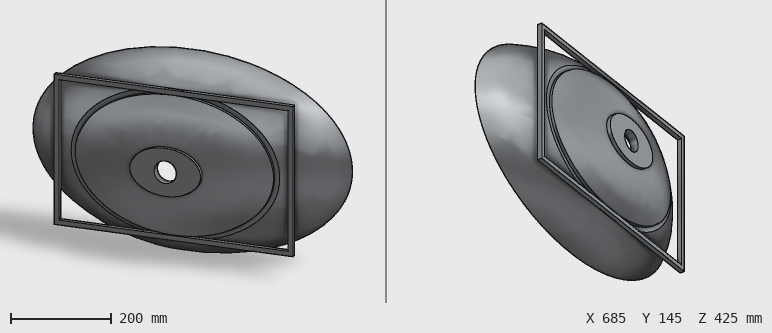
import cadquery as cq

BOWL_SECTIONS = [
    (0.0, 342.5, 212.5),
    (31.0, 312.5, 203.0),
    (59.5, 276.0, 186.0),
    (90.5, 225.0, 158.0),
    (118.0, 162.5, 120.5),
    (138.0, 66.0, 49.0),
]
WALL = 10.0

OVERALL_DEPTH = 145.0
PAD_WIDTH = 151.5
PAD_HEIGHT = 101.5
PAD_ROOT_DEPTH = 131.5
DRAIN_DIAMETER = 47.0

FRAME_WIDTH = 511.0
FRAME_HEIGHT = 316.5
FRAME_BAR = 10.0
FRAME_DEPTH = 91.0

SEAT_WIDTH = 425.0
SEAT_HEIGHT = 294.5


def plane_at(depth):
    """XZ workplane whose normal is -Y, at a depth in front of the rim plane."""
    return cq.Workplane("XZ", origin=(0, -depth, 0))


def make_bowl_form():
    """Solid outer form of the bowl, lofted through its sections."""
    form = cq.Workplane("XZ")
    previous_depth = 0
    for depth, half_width, half_height in BOWL_SECTIONS:
        form = form.workplane(offset=depth - previous_depth).ellipse(half_width, half_height)
        previous_depth = depth
    return form.loft()


def make_seat_cut():
    """Slab as thick as the frame, leaving an elliptical boss standing inside it."""
    slab = plane_at(FRAME_DEPTH).rect(FRAME_WIDTH, FRAME_HEIGHT + 2 * FRAME_BAR).extrude(FRAME_BAR)
    boss = plane_at(FRAME_DEPTH).ellipse(SEAT_WIDTH / 2, SEAT_HEIGHT / 2).extrude(FRAME_BAR)
    return slab.cut(boss)


def make_basin():
    """Hollow bowl, open toward +Y, with the drain pad and the frame seat."""
    basin = make_bowl_form().faces(">Y").shell(-WALL)
    pad_thickness = OVERALL_DEPTH - PAD_ROOT_DEPTH
    pad = plane_at(PAD_ROOT_DEPTH).ellipse(PAD_WIDTH / 2, PAD_HEIGHT / 2).extrude(pad_thickness)
    drain = plane_at(0).circle(DRAIN_DIAMETER / 2).extrude(OVERALL_DEPTH)
    return basin.union(pad).cut(make_seat_cut()).cut(drain)


def make_frame():
    """Rectangular frame that sits on the seat of the bowl."""
    bars = plane_at(FRAME_DEPTH).rect(FRAME_WIDTH, FRAME_HEIGHT)
    bars = bars.rect(FRAME_WIDTH - 2 * FRAME_BAR, FRAME_HEIGHT - 2 * FRAME_BAR)
    return bars.extrude(FRAME_BAR)


basin = make_basin()
frame = make_frame()
result = cq.Compound.makeCompound([basin.solids().val(), frame.val()])